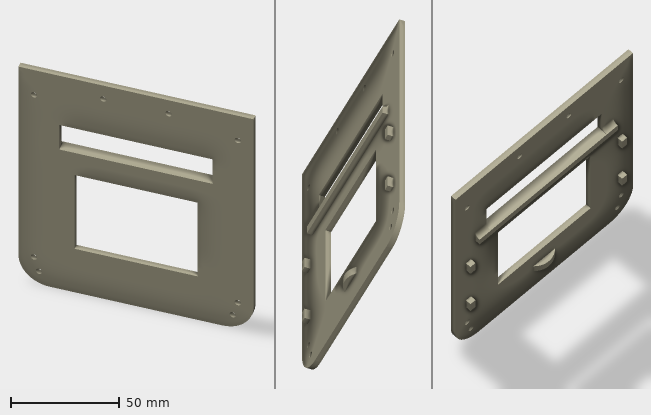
import cadquery as cq

plate_width = 115.0
plate_height = 130.0
plate_thickness = 3.0
corner_radius = 15.2
relief = 3.0
back = plate_thickness + relief

slot_width = 75.1
slot_bottom = 85.0
slot_height = 15.0
window_width = 60.0
window_bottom = 26.5
window_height = 45.0

hole_diameter = 3.1
hole_places = [(16.0, 121.8), (49.9, 114.9), (49.9, 16.0), (47.5, 7.9)]

ledge_width = 89.6
ledge_height = 4.0
blend_radius = 2.7

block_width = 3.2
block_height = 5.8
block_offset = 49.1
block_centers = (33.0, 65.0)

bump_bottom = 13.0
bump_height = 4.2
bump_half_width = 7.0


def box(x_center, width, y_start, depth, z_bottom, height):
    return cq.Workplane("XY").box(width, depth, height, centered=(True, False, False)).translate(
        (x_center, y_start, z_bottom)
    )


def make_plate():
    plate = box(0, plate_width, 0, plate_thickness, 0, plate_height)
    return plate.edges("|Y and <Z").fillet(corner_radius)


def make_ledge():
    ledge_bottom = slot_bottom - ledge_height
    arc_end = slot_bottom + blend_radius
    arc_start_y = plate_thickness + blend_radius
    arc_mid = blend_radius * (1 - 0.5**0.5)
    return (
        cq.Workplane("YZ")
        .moveTo(0, ledge_bottom)
        .lineTo(back, ledge_bottom)
        .lineTo(back, slot_bottom)
        .lineTo(arc_start_y, slot_bottom)
        .threePointArc((plate_thickness + arc_mid, slot_bottom + arc_mid), (plate_thickness, arc_end))
        .lineTo(0, arc_end)
        .close()
        .extrude(ledge_width / 2, both=True)
    )


def make_bump():
    return (
        cq.Workplane("XY")
        .workplane(offset=bump_bottom)
        .moveTo(-bump_half_width, plate_thickness)
        .threePointArc((0, back), (bump_half_width, plate_thickness))
        .close()
        .extrude(bump_height)
    )


def make_holes():
    points = [(side * x, z) for x, z in hole_places for side in (-1, 1)]
    return cq.Workplane("XZ").pushPoints(points).circle(hole_diameter / 2).extrude(-back)


result = make_plate().union(make_ledge()).union(make_bump())
for z_center in block_centers:
    for side in (-1, 1):
        block_bottom = z_center - block_height / 2
        result = result.union(
            box(side * block_offset, block_width, plate_thickness, relief, block_bottom, block_height)
        )

result = result.cut(box(0, slot_width, 0, back, slot_bottom, slot_height))
result = result.cut(box(0, window_width, 0, back, window_bottom, window_height))
result = result.cut(make_holes())